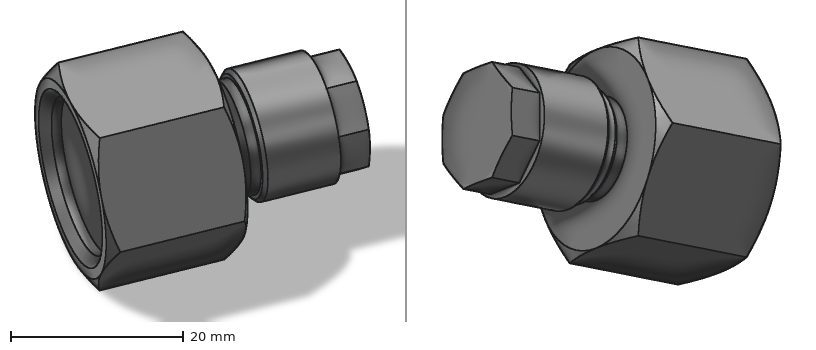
import cadquery as cq
import math

total_length = 34.5

nut_sides = 6
nut_flats = 24.0
nut_length = 17.53
nut_chamfer_angle = 30.0

recess_mouth_diameter = 21.45
recess_floor_diameter = 19.1
recess_taper_depth = 1.17
recess_floor_depth = 2.38

neck_diameter = 12.5
neck_end = 18.98
shoulder_diameter = 14.0
shoulder_start = 19.75
collar_diameter = 16.0
collar_start = 21.0
collar_end = 30.5
collar_chamfer = 0.5

tail_sides = 8
tail_flats = 14.0
tail_chamfer_angle = 15.0


def revolve_about_y(points):
    """Turn a closed (radius, Y) outline about the Y axis."""
    return cq.Workplane("XY").polyline(points).close().revolve(360, (0, 0), (0, 1))


def prism(sides, flats, start, end, first_corner_angle):
    """Regular prism along Y, given its distance across flats."""
    corner_radius = flats / 2 / math.cos(math.pi / sides)
    angles = [math.radians(first_corner_angle + i * 360 / sides) for i in range(sides)]
    corners = [(corner_radius * math.cos(a), corner_radius * math.sin(a)) for a in angles]
    return cq.Workplane("XZ", origin=(0, start, 0)).polyline(corners).close().extrude(start - end)


def chamfered_corner(sides, flats, angle):
    """Corner radius of a prism and the depth of its conical end chamfer there."""
    corner_radius = flats / 2 / math.cos(math.pi / sides)
    return corner_radius, (corner_radius - flats / 2) * math.tan(math.radians(angle))


def make_nut():
    corner_radius, drop = chamfered_corner(nut_sides, nut_flats, nut_chamfer_angle)
    envelope = revolve_about_y([
        (0, 0),
        (nut_flats / 2, 0),
        (corner_radius, drop),
        (corner_radius, nut_length - drop),
        (nut_flats / 2, nut_length),
        (0, nut_length),
    ])
    return prism(nut_sides, nut_flats, 0, nut_length, 0).intersect(envelope)


def make_recess():
    return revolve_about_y([
        (0, 0),
        (recess_mouth_diameter / 2, 0),
        (recess_floor_diameter / 2, recess_taper_depth),
        (recess_floor_diameter / 2, recess_floor_depth),
        (0, recess_floor_depth),
    ])


def make_neck_and_collar():
    return revolve_about_y([
        (0, nut_length),
        (neck_diameter / 2, nut_length),
        (neck_diameter / 2, neck_end),
        (shoulder_diameter / 2, shoulder_start),
        (shoulder_diameter / 2, collar_start),
        (collar_diameter / 2 - collar_chamfer, collar_start),
        (collar_diameter / 2, collar_start + collar_chamfer),
        (collar_diameter / 2, collar_end),
        (0, collar_end),
    ])


def make_tail():
    corner_radius, drop = chamfered_corner(tail_sides, tail_flats, tail_chamfer_angle)
    envelope = revolve_about_y([
        (0, collar_end),
        (corner_radius, collar_end),
        (corner_radius, total_length - drop),
        (tail_flats / 2, total_length),
        (0, total_length),
    ])
    return prism(tail_sides, tail_flats, collar_end, total_length, 180 / tail_sides).intersect(envelope)


result = make_nut().union(make_neck_and_collar()).union(make_tail()).cut(make_recess())